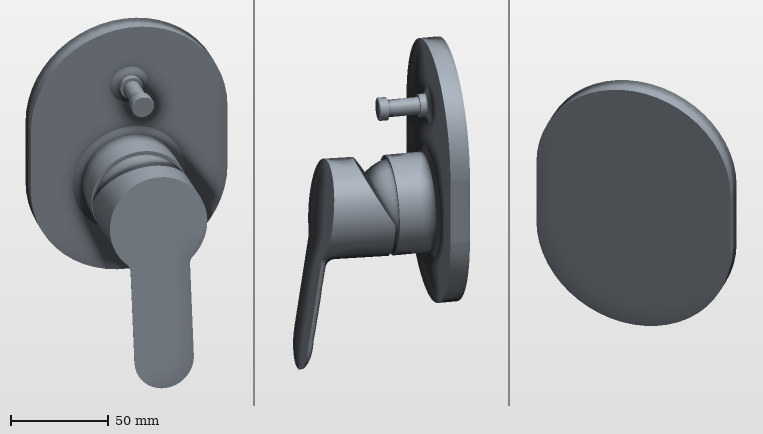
import cadquery as cq
import math

plate_width = 105.0
plate_thickness = 10.3
plate_radius = plate_width / 2
plate_center_spacing = 35.0

body_radius = 26.0
body_flange_radius = 60.0 / 2
flange_height = 1.5
flange_end = plate_thickness + flange_height
body_end = 31.0
ball_radius = 24.8
ball_center_x = 24.8
ball_neck_radius = math.sqrt(ball_radius**2 - (body_end - ball_center_x) ** 2)

pin_z = 54.8
pin_flange_radius = 20.0 / 2
pin_collar_radius = 12.0 / 2
pin_radius = 9.0 / 2
pin_collar_end = 15.5
pin_head_start = 32.3
pin_end = 37.0
pin_head_chamfer = 0.3

cap_tilt = 2
cap_back_x = 33.3
cap_stock_length = 52.3
front_top_x = 63.0
front_top_z = 27.0
cap_relief_x = 49.2
cap_relief_z = 26.7

lever_width = 31.8
lever_radius = lever_width / 2
lever_tip_x = 79.7
lever_tip_z = plate_center_spacing + plate_radius - 174.5
lever_thickness = 5.4
lever_root_z = -14
lever_blend_radius = 4.9
front_slope = (lever_tip_x - front_top_x) / (front_top_z - lever_tip_z)
front_tilt = math.degrees(math.atan(front_slope))


def front_x(z):
    """X of the sloping front face at height z."""
    return front_top_x + front_slope * (front_top_z - z)


def revolve_about_x(profile):
    """Turn an (x, radius) profile about the X axis."""
    return profile.close().revolve(360, (0, 0, 0), (1, 0, 0))


def make_plate():
    slot_length = plate_width + plate_center_spacing
    return (
        cq.Workplane("YZ")
        .center(0, plate_center_spacing / 2)
        .slot2D(slot_length, plate_width, 90)
        .extrude(plate_thickness)
    )


def make_body():
    profile = (
        cq.Workplane("XY")
        .lineTo(0, body_flange_radius)
        .lineTo(plate_thickness, body_flange_radius)
        .lineTo(flange_end, body_radius)
        .lineTo(body_end, body_radius)
        .lineTo(body_end, ball_neck_radius)
        .radiusArc((ball_center_x + ball_radius, 0), ball_radius)
    )
    return revolve_about_x(profile)


def make_pin():
    profile = (
        cq.Workplane("XY")
        .lineTo(0, pin_flange_radius)
        .lineTo(plate_thickness, pin_flange_radius)
        .lineTo(flange_end, pin_collar_radius)
        .lineTo(pin_collar_end, pin_collar_radius)
        .lineTo(pin_collar_end, pin_radius)
        .lineTo(pin_head_start, pin_radius)
        .lineTo(pin_head_start, pin_collar_radius)
        .lineTo(pin_end - pin_head_chamfer, pin_collar_radius)
        .lineTo(pin_end, pin_collar_radius - pin_head_chamfer)
        .lineTo(pin_end, 0)
    )
    return revolve_about_x(profile).translate((0, 0, pin_z))


def make_cap():
    cylinder = (
        cq.Workplane("YZ")
        .circle(body_radius)
        .extrude(cap_stock_length)
        .rotate((0, 0, 0), (0, 1, 0), -cap_tilt)
        .translate((cap_back_x, 0, 0))
    )
    margin = 8.7
    bottom_z = -body_radius - margin
    top_z = cap_relief_z + margin
    relief_slope = (cap_relief_x - cap_back_x) / cap_relief_z
    outline = (
        cq.Workplane("XZ")
        .moveTo(cap_back_x, 0)
        .lineTo(cap_back_x, bottom_z)
        .lineTo(front_x(bottom_z), bottom_z)
        .lineTo(front_x(top_z), top_z)
        .lineTo(cap_back_x + relief_slope * top_z, top_z)
        .close()
        .extrude(plate_width / 2, both=True)
    )
    return cylinder.intersect(outline)


def make_lever():
    """Half-elliptic bar with a round tip, its flat side in the sloping front face."""
    length = (lever_root_z - lever_tip_z) / math.cos(math.radians(front_tilt)) - lever_radius
    bar = (
        cq.Workplane("XY")
        .moveTo(0, -lever_radius)
        .lineTo(0, lever_radius)
        .ellipseArc(lever_thickness, lever_radius, 90, 270, startAtCurrent=True)
        .close()
        .extrude(length)
    )
    tip = (
        cq.Workplane("XZ")
        .lineTo(0, -lever_radius)
        .ellipseArc(lever_thickness, lever_radius, 180, 270, startAtCurrent=True, sense=-1)
        .close()
        .revolve(360, (0, 0, 0), (1, 0, 0))
    )
    return (
        bar.union(tip)
        .translate((0, 0, lever_radius))
        .rotate((0, 0, 0), (0, 1, 0), -front_tilt)
        .translate((lever_tip_x, 0, lever_tip_z))
    )


def make_handle():
    """Cap and lever, with the lever blended into the underside of the cap."""
    handle = make_cap().union(make_lever())
    return handle.edges("%BSPLINE").fillet(lever_blend_radius)


result = make_plate().union(make_body()).union(make_pin()).union(make_handle())